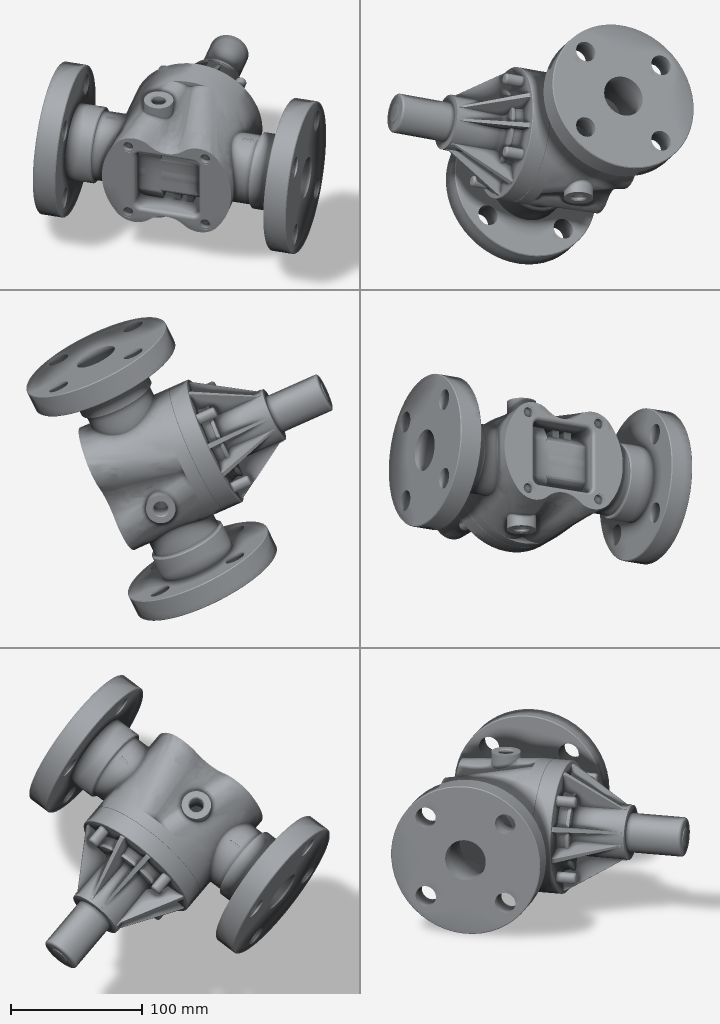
import cadquery as cq
import math


total_y = 204.5

length = 199.0
flange_diameter = 117.4
flange_thickness = 17.8
flange_edge_chamfer = 0.6
flange_hole_diameter = 16.0
flange_hole_offset = 31.3
hub_diameter = 58.7
hub_end = 62.0
pipe_diameter = 53.2
hub_root_fillet = 0.8
hub_edge_chamfer = 0.8
pipe_junction_fillet = 1.0
bore_diameter = 32.0
bore_depth = 40.9

body_diameter = 101.6
body_front = -37.5
body_ring_start = 28.6
cover_start = 38.6
cover_end = 53.4
cover_chamfer = 0.5
front_lobe_center = (25.4, 20.7)
front_dip_radius = 20.5
ring_lobe_center = (10.8, 30.9)
ring_dip_radius = 4.7

window_width = 50.3
window_height = 51.5
window_corner_radius = 5.0
window_rim_fillet = 2.7
window_back = 0.0
insert_front = -25.4
insert_step_x = -7.4
insert_edge_chamfer = 0.8
wide_half_height = 16.2
wide_flank_end = -19.2
narrow_half_height = 14.3
flank_start_angle = 45.0
flank_end_angle = 68.0
bead_width = 7.5
bead_height = 0.3
bead_gap_start = -19.8
bead_gap_end = -7.2
tab_front = -18.8
tab_inner_z = 19.8
tab_width = 5.5
tab_centers = (3.3, 13.3)

stud_offset = 30.3
stud_diameter = 8.4
stud_end = 68.0
stud_end_fillet = 1.8
stud_seat_diameter = 10.2
stud_seat_depth = 0.5
stud_hole_diameter = 7.8
stud_hole_depth = 4.0

port_x = -16.4
port_diameter = 22.3
port_root_fillet = 0.6
port_root_start = 36.8
port_root_end = 49.0
port_hole_diameter = 11.0
port_hole_depth = 18.5
port_hole_chamfer = 0.8
drill_point_angle = 118.0

collar_diameter = 64.6
collar_top = 62.4
collar_step = 60.0
collar_step_width = 0.8
collar_flare_start = 58.3
collar_foot_diameter = 66.3
neck_diameter = 41.3
neck_root_fillet = 3.9
cap_diameter = 42.1
cap_start = 100.8
cap_end = 102.9
stem_diameter = 30.0
stem_end = 145.4
stem_end_fillet = 1.8
button_diameter = 14.7
bonnet_end = total_y - flange_diameter / 2

rib_pair_angle = 15.0
rib_foot_radius = 48.3
rib_foot_height = 1.2
rib_head_radius = 21.5
rib_head_start = 97.7
rib_foot_thickness = 3.7
rib_head_thickness = 1.6

arrow_centers = (-53.4, 54.4)
arrow_length = 9.0
arrow_head_length = 2.9
arrow_head_width = 5.7
arrow_shaft_width = 2.7
arrow_depth = 0.5

SIDES = (-1, 1)
CORNERS = [(a, b) for a in SIDES for b in SIDES]

pick_margin = 1.0


def disc(diameter, start, end):
    """Cylinder on the Y axis from y = start to y = end."""
    return cq.Workplane("XZ", origin=(0, start, 0)).circle(diameter / 2).extrude(start - end)


def pipe_end():
    """The half of the pipe on the -X side, with its hub and drilled flange."""
    outer = length / 2
    flange = (
        cq.Workplane("YZ", origin=(-outer, 0, 0))
        .circle(flange_diameter / 2)
        .extrude(flange_thickness)
        .edges()
        .chamfer(flange_edge_chamfer)
        .cut(
            cq.Workplane("YZ", origin=(-outer, 0, 0))
            .pushPoints([(flange_hole_offset * a, flange_hole_offset * b) for a, b in CORNERS])
            .circle(flange_hole_diameter / 2)
            .extrude(flange_thickness)
        )
    )
    hub_start = outer - flange_thickness
    hub_radius = hub_diameter / 2
    pipe_radius = pipe_diameter / 2
    root = hub_root_fillet
    root_bulge = root * (1 - math.sqrt(0.5))
    hub_and_pipe = (
        cq.Workplane("XY")
        .moveTo(-hub_start, 0)
        .lineTo(-hub_start, hub_radius)
        .lineTo(-hub_end - hub_edge_chamfer, hub_radius)
        .lineTo(-hub_end, hub_radius - hub_edge_chamfer)
        .lineTo(-hub_end, pipe_radius + root)
        .threePointArc(
            (-hub_end + root_bulge, pipe_radius + root_bulge),
            (-hub_end + root, pipe_radius),
        )
        .lineTo(0, pipe_radius)
        .lineTo(0, 0)
        .close()
        .revolve(360, (0, 0, 0), (1, 0, 0))
    )
    return flange.union(hub_and_pipe)


def pipe():
    half = pipe_end()
    return half.union(half.mirror("YZ"))


def lobed_wire(y, lobe_center, dip_radius):
    """Body section at y: a circle with two lobes and a dip on its top and on its bottom."""
    radius = body_diameter / 2
    lobe_x, lobe_z = lobe_center
    lobe_distance = math.hypot(lobe_x, lobe_z)
    lobe_radius = radius - lobe_distance
    span = lobe_radius + dip_radius
    dip_z = lobe_z + math.sqrt(span**2 - lobe_x**2)

    tangent = (lobe_x * radius / lobe_distance, lobe_z * radius / lobe_distance)
    lobe_top = (lobe_x, lobe_z + lobe_radius)
    turn_x = lobe_x * dip_radius / span
    turn_z = dip_z - (dip_z - lobe_z) * dip_radius / span
    low = (0, dip_z - dip_radius)
    turn = (turn_x, turn_z)

    def at(point, side_x, side_z):
        return cq.Vector(point[0] * side_x, y, point[1] * side_z)

    def arc(start, middle, end):
        return cq.Edge.makeThreePointArc(start, middle, end)

    edges = []
    for side in SIDES:
        edges += [
            arc(at(tangent, -side, side), at(lobe_top, -side, side), at(turn, -side, side)),
            arc(at(turn, -side, side), at(low, 1, side), at(turn, side, side)),
            arc(at(turn, side, side), at(lobe_top, side, side), at(tangent, side, side)),
            arc(at(tangent, side, side), at((radius, 0), side, 1), at(tangent, side, -side)),
        ]
    return cq.Wire.assembleEdges(edges)


def body():
    shell = cq.Solid.makeLoft(
        [
            lobed_wire(body_front, front_lobe_center, front_dip_radius),
            lobed_wire(body_ring_start, ring_lobe_center, ring_dip_radius),
        ],
        True,
    )
    ring = disc(body_diameter, body_ring_start, cover_start)
    cover = disc(body_diameter, cover_start, cover_end).edges().chamfer(cover_chamfer)
    return cq.Workplane(shell).union(ring).union(cover)


def window_cut():
    depth = window_back - body_front
    pocket = (
        cq.Workplane("XZ", origin=(0, body_front, 0))
        .rect(window_width, window_height)
        .extrude(-depth)
        .edges("|Y")
        .fillet(window_corner_radius)
    )
    return pocket.cut(insert())


def insert_block(profile, start, end):
    """Extrude the upper half profile of the insert along X and mirror it below."""
    upper = profile.close().extrude(end - start).translate((start, 0, 0))
    return upper.union(upper.mirror("XY"))


def insert():
    """Block at the back of the window, wide on the left and narrow with rounded flanks on the right."""
    edge_x = window_width / 2
    edge_z = window_height / 2
    wide = insert_block(
        cq.Workplane("YZ")
        .moveTo(window_back, 0)
        .lineTo(insert_front, 0)
        .lineTo(insert_front, wide_half_height)
        .lineTo(wide_flank_end, edge_z)
        .lineTo(window_back, edge_z),
        -edge_x,
        insert_step_x,
    )
    first, last = math.radians(flank_start_angle), math.radians(flank_end_angle)
    flank_radius = (edge_z - narrow_half_height) / (math.sin(last) - math.sin(first))

    def flank_point(angle):
        return (
            insert_front + flank_radius * (math.cos(first) - math.cos(angle)),
            narrow_half_height + flank_radius * (math.sin(angle) - math.sin(first)),
        )

    narrow = insert_block(
        cq.Workplane("YZ")
        .moveTo(window_back, 0)
        .lineTo(insert_front, 0)
        .lineTo(*flank_point(first))
        .threePointArc(flank_point((first + last) / 2), flank_point(last))
        .lineTo(window_back, edge_z),
        insert_step_x,
        edge_x,
    )
    block = wide.union(narrow)
    block = block.faces("<Y").edges("not (<X or >X)").chamfer(insert_edge_chamfer)

    for start, end in ((-edge_x, bead_gap_start), (bead_gap_end, edge_x)):
        bead = (
            cq.Workplane("YZ", origin=(start, 0, 0))
            .moveTo(insert_front, -bead_width / 2)
            .threePointArc((insert_front - bead_height, 0), (insert_front, bead_width / 2))
            .close()
            .extrude(end - start)
        )
        block = block.union(bead)

    tab_height = edge_z - tab_inner_z
    tab_depth = window_back - tab_front
    for x in tab_centers:
        for side in SIDES:
            tab = cq.Workplane("XY").box(tab_width, tab_depth, tab_height)
            tab_z = side * (tab_inner_z + tab_height / 2)
            block = block.union(tab.translate((x, tab_front + tab_depth / 2, tab_z)))
    return block


def edges_within(center, size):
    """Selector for the edges that lie entirely inside a box."""
    low = [c - d / 2 for c, d in zip(center, size)]
    high = [c + d / 2 for c, d in zip(center, size)]
    return cq.selectors.BoxSelector(low, high, boundingbox=True)


def port_boss(side):
    boss = cq.Workplane("XY").circle(port_diameter / 2).extrude(side * body_diameter / 2)
    return boss.translate((port_x, 0, 0))


def port_hole(side):
    """Chamfered blind hole with a drill point, from the top of a port boss inwards."""
    radius = port_hole_diameter / 2
    top = body_diameter / 2
    floor = top - port_hole_depth
    point = floor - radius / math.tan(math.radians(drill_point_angle / 2))
    hole = (
        cq.Workplane("XZ")
        .moveTo(0, point)
        .lineTo(radius, floor)
        .lineTo(radius, top - port_hole_chamfer)
        .lineTo(radius + port_hole_chamfer, top)
        .lineTo(0, top)
        .close()
        .revolve(360, (0, 0, 0), (0, 1, 0))
    )
    if side < 0:
        hole = hole.mirror("XY")
    return hole.translate((port_x, 0, 0))


def bore(side):
    outer = side * length / 2
    return cq.Workplane("YZ", origin=(outer, 0, 0)).circle(bore_diameter / 2).extrude(-side * bore_depth)


def bonnet():
    """Collar, neck, cap and stem turned about the Y axis."""
    collar_radius = collar_diameter / 2
    neck_radius = neck_diameter / 2
    cap_radius = cap_diameter / 2
    stem_radius = stem_diameter / 2
    root = neck_root_fillet
    root_bulge = root * (1 - math.sqrt(0.5))
    round_inset = stem_end_fillet * (1 - math.sqrt(0.5))
    return (
        cq.Workplane("XY")
        .moveTo(0, cover_start)
        .lineTo(collar_foot_diameter / 2, cover_start)
        .lineTo(collar_foot_diameter / 2, cover_end)
        .lineTo(collar_radius - collar_step_width, collar_flare_start)
        .lineTo(collar_radius - collar_step_width, collar_step - collar_step_width)
        .lineTo(collar_radius, collar_step)
        .lineTo(collar_radius, collar_top)
        .lineTo(neck_radius + root, collar_top)
        .threePointArc(
            (neck_radius + root_bulge, collar_top + root_bulge),
            (neck_radius, collar_top + root),
        )
        .lineTo(neck_radius, cap_start)
        .lineTo(cap_radius, cap_start)
        .lineTo(cap_radius, cap_end)
        .lineTo(stem_radius, cap_end)
        .lineTo(stem_radius, stem_end - stem_end_fillet)
        .threePointArc(
            (stem_radius - round_inset, stem_end - round_inset),
            (stem_radius - stem_end_fillet, stem_end),
        )
        .lineTo(button_diameter / 2, stem_end)
        .lineTo(button_diameter / 2, bonnet_end)
        .lineTo(0, bonnet_end)
        .close()
        .revolve(360, (0, 0, 0), (0, 1, 0))
    )


def rib():
    """Rib on the +X side, thinner towards the cap."""
    outline = (
        cq.Workplane("XY")
        .moveTo(0, cover_end)
        .lineTo(rib_foot_radius, cover_end)
        .lineTo(rib_foot_radius, cover_end + rib_foot_height)
        .lineTo(rib_head_radius, rib_head_start)
        .lineTo(rib_head_radius, cap_start)
        .lineTo(0, cap_start)
        .close()
        .extrude(rib_foot_thickness / 2, both=True)
    )
    taper = (
        cq.Workplane("YZ")
        .moveTo(cover_end, -rib_foot_thickness / 2)
        .lineTo(cap_start, -rib_head_thickness / 2)
        .lineTo(cap_start, rib_head_thickness / 2)
        .lineTo(cover_end, rib_foot_thickness / 2)
        .close()
        .extrude(rib_foot_radius)
    )
    return outline.intersect(taper)


def stud(x, z):
    """Rounded stud end standing on the cover."""
    shank = disc(stud_diameter, cover_start, stud_end).faces(">Y").edges().fillet(stud_end_fillet)
    return shank.translate((x, 0, z))


def stud_socket(x, z):
    """Stepped hole in the front of the body, in line with a stud."""
    seat = disc(stud_seat_diameter, body_front, body_front + stud_seat_depth)
    hole = disc(stud_hole_diameter, body_front, body_front + stud_hole_depth)
    return seat.union(hole).translate((x, 0, z))


def arrow(x):
    """Arrow pointing along +X, cut to a shallow depth into the top of the pipe."""
    tip = arrow_length / 2
    neck = tip - arrow_head_length
    top = pipe_diameter / 2
    head = arrow_head_width / 2
    shaft = arrow_shaft_width / 2
    outline = [(-tip, -shaft), (neck, -shaft), (neck, -head), (tip, 0)]
    outline += [(neck, head), (neck, shaft), (-tip, shaft)]
    return cq.Workplane("XY", origin=(x, 0, top - arrow_depth)).polyline(outline).close().extrude(arrow_depth)


result = body().union(pipe())
body_radius = body_diameter / 2
junction_width = pipe_diameter + pick_margin
for side in SIDES:
    junction = edges_within((side * body_radius, 0, 0), (body_radius, junction_width, junction_width))
    result = result.edges(junction).fillet(pipe_junction_fillet)

port_root_width = port_diameter + pick_margin
port_root_center = (port_root_start + port_root_end) / 2
port_root_height = port_root_end - port_root_start
for side in SIDES:
    port_root = edges_within(
        (port_x, 0, side * port_root_center),
        (port_root_width, port_root_width, port_root_height),
    )
    result = result.union(port_boss(side)).edges(port_root).fillet(port_root_fillet)

window_rim = edges_within(
    (0, body_front, 0),
    (window_width + pick_margin, pick_margin, window_height + pick_margin),
)
result = result.cut(window_cut()).edges(window_rim).fillet(window_rim_fillet)

result = result.union(bonnet())
for quarter in range(4):
    for offset in SIDES:
        angle = 90 * quarter + offset * rib_pair_angle
        result = result.union(rib().rotate((0, 0, 0), (0, 1, 0), angle))

for side_x, side_z in CORNERS:
    x = side_x * stud_offset
    z = side_z * stud_offset
    result = result.union(stud(x, z)).cut(stud_socket(x, z))

for side in SIDES:
    result = result.cut(port_hole(side)).cut(bore(side))

for x in arrow_centers:
    result = result.cut(arrow(x))